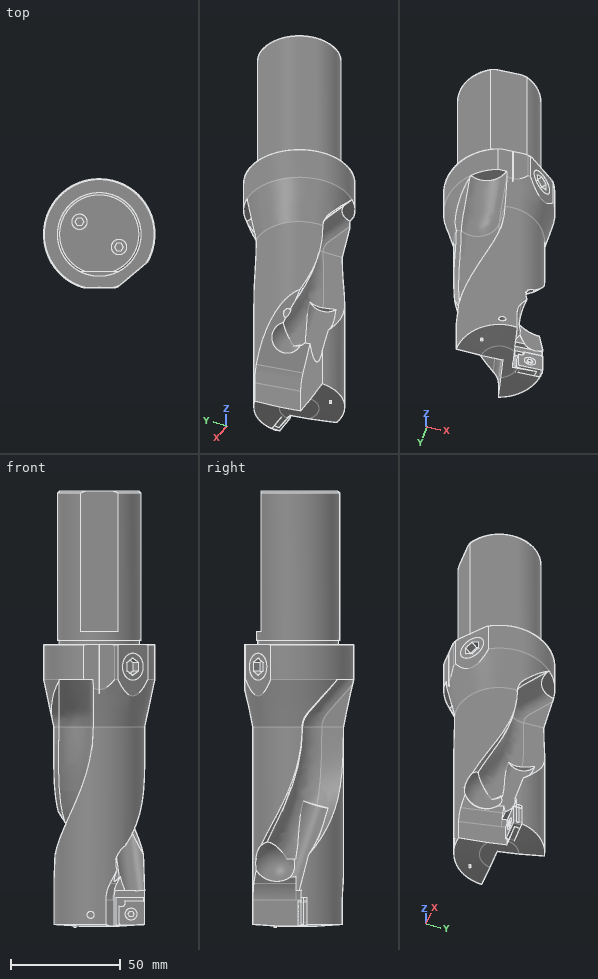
import cadquery as cq
import math


SHANK_DIA = 38.1
SHANK_LENGTH = 69.85
SHANK_CHAMFER = 1.0
SHANK_FLAT_Y = -17.0
SHANK_FLAT_LENGTH = 64.0
NECK_HEIGHT = 1.8
NECK_DEPTH = 0.6

COLLAR_DIA = 50.8
COLLAR_HEIGHT = 16.0
COLLAR_CHAMFER = 0.4
CONE_HEIGHT = 21.7
COLLAR_FLAT_Y = -24.4
MARK_WIDTH = 0.4
MARK_DEPTH = 0.4
MARK_LENGTH = 22.3
PLUG_FLAT_ANGLE = 40.0
PLUG_FLAT_DISTANCE = 23.8

DRILL_DIA = 41.5
OVERALL_LENGTH = 198.91
NIB_HEIGHT = 0.65
NIB_DIA = 1.0
NIB_X, NIB_Y = -11.0, -10.4
TIP_FACE_RADIUS = 9.0
TIP_RISE = 0.8

FLUTE_WALL_X = -2.7
FLUTE_ARC_RADIUS = 10.3
FLUTE_ARC_CENTRE_Y = -10.8
FLUTE_LIP_X = -18.4
FLUTE_LIP_Y = -1.0
FLUTE_LENGTH = 60.0
END_BALL_DEPTH = 62.0
TWIST_LENGTH = 64.0
TWIST_ANGLE = 84.0
TWIST_EXPONENT = 2
TWIST_SECTIONS = 13
RUNOUT_SLOPE = 0.88
RUNOUT_BEND = 7.0
RUNOUT_SECTIONS = 8

INNER_POCKET_RIM_X = 5.0
INNER_POCKET_SLOPE = 0.6
OUTER_POCKET_RIM_X = -3.0
OUTER_POCKET_SLOPE = 0.5
POCKET_WALL_LEAN = 3.4
POCKET_BEND_Z = -112.5
POCKET_BEND_RADIUS = 17.0
POCKET_HEIGHT = 44.0
UPPER_FLOOR_Y = 1.0
LOWER_FLOOR_Y = -1.4
LOWER_FLOOR_TOP_Z = -112.0

GOUGE_RADIUS = 7.5
GOUGE_LENGTH = 46.0
GOUGE_START = (-12.2, -6.8, -72.0)
GOUGE_DIRECTION = (-0.13, 0.33, -1.0)

LAND_HOLE_DIA = 3.2
LAND_HOLE_X = -3.9
LAND_HOLE_Z = -123.2
LAND_HOLE_DEPTH = 6.0
FLUTE_HOLE_DIA = 3.2
FLUTE_HOLE_LENGTH = 22.0
FLUTE_HOLE_START = (-13.5, 13.0, -92.0)
FLUTE_HOLE_DIRECTION = (0.25, -0.15, 1.0)

INSERT_WIDTH = 11.5
INSERT_HEIGHT = 11.0
INSERT_THICKNESS = 4.0
INSERT_CORNER_RADIUS = 0.8
INSERT_OUTER_X = 20.6
INSERT_BOTTOM_Z = -127.8
SEAT_GAP = 1.4
CORNER_RELIEF_DIA = 3.4
CORNER_RELIEF_INSET = 1.0
SCREW_HEAD_DIA = 5.4
SCREW_SHANK_DIA = 3.5
SCREW_HEAD_HEIGHT = 2.4
SCREW_LENGTH = 10.0
SCREW_SOCKET_WIDTH = 2.8
SCREW_SOCKET_DEPTH = 1.4
SCREW_X = 14.5
SCREW_Z = -122.85

END_PLUG_DIA = 7.0
END_PLUG_LENGTH = 8.0
END_PLUG_POSITION = (-9.0, 5.75)
END_PLUG_SOCKET = 4.0
SIDE_PLUG_DIA = 12.3
SIDE_PLUG_LENGTH = 10.0
SIDE_PLUG_SOCKET = 7.8
SIDE_PLUG_Z = -10.2
SOCKET_DEPTH = 4.0

COLLAR_RADIUS = COLLAR_DIA / 2
DRILL_RADIUS = DRILL_DIA / 2
SHANK_RADIUS = SHANK_DIA / 2
CONE_FOOT_Z = -COLLAR_HEIGHT - CONE_HEIGHT
TIP_Z = SHANK_LENGTH - OVERALL_LENGTH + NIB_HEIGHT
CUT_MARGIN = 2.0
OUTSIDE = COLLAR_RADIUS + CUT_MARGIN
AXIS_START = (0, 0, 0)
AXIS_END = (0, 0, 1)


def make_blank():
    """Turned outline of shank, neck, collar, cone and drill."""
    neck_radius = SHANK_RADIUS - NECK_DEPTH
    return (
        cq.Workplane("XZ")
        .moveTo(0, SHANK_LENGTH)
        .lineTo(SHANK_RADIUS - SHANK_CHAMFER, SHANK_LENGTH)
        .lineTo(SHANK_RADIUS, SHANK_LENGTH - SHANK_CHAMFER)
        .lineTo(SHANK_RADIUS, NECK_HEIGHT)
        .lineTo(neck_radius, NECK_HEIGHT)
        .lineTo(neck_radius, 0)
        .lineTo(COLLAR_RADIUS - COLLAR_CHAMFER, 0)
        .lineTo(COLLAR_RADIUS, -COLLAR_CHAMFER)
        .lineTo(COLLAR_RADIUS, -COLLAR_HEIGHT)
        .lineTo(DRILL_RADIUS, CONE_FOOT_Z)
        .lineTo(DRILL_RADIUS, TIP_Z + TIP_RISE)
        .lineTo(TIP_FACE_RADIUS, TIP_Z)
        .lineTo(0, TIP_Z)
        .close()
        .revolve(360, (0, 0, 0), (0, 1, 0))
    )


def box_between(low, high):
    size = [b - a for a, b in zip(low, high)]
    return cq.Workplane("XY").box(*size, centered=False).translate(low)


def cut_flats(body):
    """Clamping flat on the shank, two flats on the collar and the setting mark."""
    shank_flat = box_between(
        (-OUTSIDE, -OUTSIDE, SHANK_LENGTH - SHANK_FLAT_LENGTH),
        (OUTSIDE, SHANK_FLAT_Y, SHANK_LENGTH),
    )
    collar_flat = box_between(
        (-OUTSIDE, -OUTSIDE, CONE_FOOT_Z), (OUTSIDE, COLLAR_FLAT_Y, 0)
    )
    plug_flat = box_between(
        (-OUTSIDE, -OUTSIDE, CONE_FOOT_Z), (OUTSIDE, -PLUG_FLAT_DISTANCE, 0)
    ).rotate(AXIS_START, AXIS_END, PLUG_FLAT_ANGLE)
    mark = box_between(
        (-MARK_WIDTH / 2, -OUTSIDE, -MARK_LENGTH),
        (MARK_WIDTH / 2, COLLAR_FLAT_Y + MARK_DEPTH, 0),
    )
    return body.cut(shank_flat).cut(collar_flat).cut(plug_flat).cut(mark)


def twist_at(depth):
    """Clockwise turn of the flute, seen from above, at a depth below the cone foot."""
    return TWIST_ANGLE * (depth / TWIST_LENGTH) ** TWIST_EXPONENT


def flute_section(depth):
    """Flute outline: a straight wall, a round root and a lip, open to the outside."""
    arc_centre_x = FLUTE_WALL_X - FLUTE_ARC_RADIUS
    lip_offset = FLUTE_LIP_X - arc_centre_x
    lip_arc_y = FLUTE_ARC_CENTRE_Y + math.sqrt(FLUTE_ARC_RADIUS**2 - lip_offset**2)
    diagonal = FLUTE_ARC_RADIUS * math.sqrt(0.5)
    wire = (
        cq.Workplane("XY")
        .moveTo(FLUTE_WALL_X, -OUTSIDE)
        .lineTo(FLUTE_WALL_X, FLUTE_ARC_CENTRE_Y)
        .threePointArc(
            (arc_centre_x + diagonal, FLUTE_ARC_CENTRE_Y + diagonal),
            (FLUTE_LIP_X, lip_arc_y),
        )
        .lineTo(-OUTSIDE, FLUTE_LIP_Y)
        .lineTo(-OUTSIDE, -OUTSIDE)
        .close()
        .val()
    )
    return wire.rotate(
        cq.Vector(*AXIS_START), cq.Vector(*AXIS_END), -twist_at(depth)
    ).translate(cq.Vector(0, 0, CONE_FOOT_Z - depth))


def runout_offset(height):
    """Outward shift of the flute above the cone foot: a parabolic bend, then a straight slope."""
    if height < RUNOUT_BEND:
        return RUNOUT_SLOPE * height**2 / (2 * RUNOUT_BEND)
    return RUNOUT_SLOPE * (height - RUNOUT_BEND / 2)


def make_flute():
    """Cutters for the twisting flute, its runout up through the cone and its round lower end."""
    step = FLUTE_LENGTH / (TWIST_SECTIONS - 1)
    sections = [flute_section(index * step) for index in range(TWIST_SECTIONS)]
    helix = cq.Workplane(cq.Solid.makeLoft(sections))
    runout_step = CONE_HEIGHT / (RUNOUT_SECTIONS - 1)
    runout_heights = [index * runout_step for index in range(RUNOUT_SECTIONS)]
    runout = cq.Workplane(
        cq.Solid.makeLoft(
            [
                flute_section(0).translate(cq.Vector(0, -runout_offset(height), height))
                for height in runout_heights
            ]
        )
    )
    end_ball = (
        cq.Workplane("XY")
        .sphere(FLUTE_ARC_RADIUS)
        .translate((FLUTE_WALL_X - FLUTE_ARC_RADIUS, FLUTE_ARC_CENTRE_Y, CONE_FOOT_Z - END_BALL_DEPTH))
        .rotate(AXIS_START, AXIS_END, -twist_at(END_BALL_DEPTH))
    )
    return helix, runout, end_ball


def make_chip_pocket(rim_x, slope, upper_floor_y):
    """Bent wall leaning back from the rim, above a floor that steps down beside the tip."""
    bottom_z = TIP_Z - CUT_MARGIN
    profile = (
        cq.Workplane("XZ")
        .moveTo(rim_x, bottom_z)
        .lineTo(rim_x, POCKET_BEND_Z)
        .lineTo(rim_x - slope * POCKET_HEIGHT, POCKET_BEND_Z + POCKET_HEIGHT)
        .lineTo(-2 * OUTSIDE, POCKET_BEND_Z + POCKET_HEIGHT)
        .lineTo(-2 * OUTSIDE, bottom_z)
        .close()
        .extrude(CUT_MARGIN)
        .edges(cq.selectors.NearestToPointSelector((rim_x, 0, POCKET_BEND_Z)))
        .fillet(POCKET_BEND_RADIUS)
        .faces(">Y").wires().val()
    )
    lean = POCKET_WALL_LEAN / DRILL_RADIUS

    def pocket_down_to(floor_y):
        depth = OUTSIDE - floor_y
        start = profile.translate(cq.Vector(lean * (OUTSIDE - DRILL_RADIUS), OUTSIDE, 0))
        return cq.Workplane(
            cq.Solid.extrudeLinear(start, [], cq.Vector(-lean * depth, -depth, 0))
        )

    below_step = box_between(
        (-2 * OUTSIDE, -OUTSIDE, bottom_z), (2 * OUTSIDE, OUTSIDE, LOWER_FLOOR_TOP_Z)
    )
    lower = pocket_down_to(LOWER_FLOOR_Y).intersect(below_step)
    return pocket_down_to(upper_floor_y).union(lower)


def cut_flutes(body):
    """Two flutes, half a turn apart, each ending in a chip pocket."""
    flute = make_flute()
    inner_pocket = make_chip_pocket(INNER_POCKET_RIM_X, INNER_POCKET_SLOPE, LOWER_FLOOR_Y)
    outer_pocket = make_chip_pocket(OUTER_POCKET_RIM_X, OUTER_POCKET_SLOPE, UPPER_FLOOR_Y)
    for half_turn, pocket in ((0, inner_pocket), (180, outer_pocket)):
        for cutter in [*flute, pocket]:
            body = body.cut(cutter.rotate(AXIS_START, AXIS_END, half_turn))
    return body


def cut_gouges(body):
    gouge = cq.Solid.makeCylinder(
        GOUGE_RADIUS, GOUGE_LENGTH, cq.Vector(*GOUGE_START), cq.Vector(*GOUGE_DIRECTION)
    )
    for half_turn in (0, 180):
        body = body.cut(cq.Workplane(gouge).rotate(AXIS_START, AXIS_END, half_turn))
    return body


def cut_coolant_holes(body):
    land_hole = cq.Solid.makeCylinder(
        LAND_HOLE_DIA / 2,
        LAND_HOLE_DEPTH,
        cq.Vector(LAND_HOLE_X, -DRILL_RADIUS, LAND_HOLE_Z),
        cq.Vector(0, 1, 0),
    )
    flute_hole = cq.Solid.makeCylinder(
        FLUTE_HOLE_DIA / 2,
        FLUTE_HOLE_LENGTH,
        cq.Vector(*FLUTE_HOLE_START),
        cq.Vector(*FLUTE_HOLE_DIRECTION),
    )
    return body.cut(cq.Workplane(land_hole)).cut(cq.Workplane(flute_hole))


def add_nib(body):
    nib = (
        cq.Workplane("XY", origin=(NIB_X, NIB_Y, TIP_Z - NIB_HEIGHT))
        .circle(NIB_DIA / 2)
        .extrude(NIB_HEIGHT + 2 * TIP_RISE)
    )
    return body.union(nib)


def insert_block(thickness, grow):
    """Block on the insert's place, with its cutting face on Y = 0; grow widens two sides."""
    width = INSERT_WIDTH + grow
    height = INSERT_HEIGHT + grow
    return box_between(
        (INSERT_OUTER_X - width, 0, INSERT_BOTTOM_Z),
        (INSERT_OUTER_X, thickness, INSERT_BOTTOM_Z + height),
    )


def along_y(diameter, start_y, length, x, z):
    """Round bar that points to +Y."""
    return cq.Workplane(
        cq.Solid.makeCylinder(
            diameter / 2, length, cq.Vector(x, start_y, z), cq.Vector(0, 1, 0)
        )
    )


def screw_blank():
    head = along_y(SCREW_HEAD_DIA, 0, SCREW_HEAD_HEIGHT, SCREW_X, SCREW_Z)
    return head.union(along_y(SCREW_SHANK_DIA, 0, SCREW_LENGTH, SCREW_X, SCREW_Z))


def make_insert():
    corner_relief = along_y(
        CORNER_RELIEF_DIA,
        0,
        INSERT_THICKNESS,
        INSERT_OUTER_X - INSERT_WIDTH + CORNER_RELIEF_INSET,
        INSERT_BOTTOM_Z + INSERT_HEIGHT - CORNER_RELIEF_INSET,
    )
    return (
        insert_block(INSERT_THICKNESS, 0)
        .edges("|Y").fillet(INSERT_CORNER_RADIUS)
        .cut(corner_relief)
        .cut(screw_blank())
    )


def make_screw():
    socket = (
        cq.Workplane("XZ", origin=(SCREW_X, 0, SCREW_Z))
        .polygon(6, SCREW_SOCKET_WIDTH)
        .extrude(-SCREW_SOCKET_DEPTH)
    )
    return screw_blank().cut(socket)


def cut_insert_seat(body):
    return body.cut(insert_block(INSERT_THICKNESS, SEAT_GAP)).cut(screw_blank())


def plug_bar(frame, diameter, length):
    """Round bar that goes down into the body from a frame on its surface."""
    return cq.Workplane(frame).circle(diameter / 2).extrude(-length)


def make_plug(frame, diameter, length, socket_width):
    socket = cq.Workplane(frame).polygon(6, socket_width).extrude(-SOCKET_DEPTH)
    return plug_bar(frame, diameter, length).cut(socket)


def end_plug_frames():
    """Frames on the shank's end face, half a turn apart."""
    x, y = END_PLUG_POSITION
    return [cq.Plane((side * x, side * y, SHANK_LENGTH)) for side in (1, -1)]


def side_plug_frame():
    """Frame on the angled collar flat, with its local X axis pointing up."""
    angle = math.radians(PLUG_FLAT_ANGLE)
    normal = (math.sin(angle), -math.cos(angle), 0)
    origin = (PLUG_FLAT_DISTANCE * normal[0], PLUG_FLAT_DISTANCE * normal[1], SIDE_PLUG_Z)
    return cq.Plane(origin, xDir=(0, 0, 1), normal=normal)


def make_body():
    body = cut_flats(make_blank())
    body = cut_flutes(body)
    body = cut_gouges(body)
    body = cut_coolant_holes(body)
    body = add_nib(body)
    body = cut_insert_seat(body)
    for frame in end_plug_frames():
        body = body.cut(plug_bar(frame, END_PLUG_DIA, END_PLUG_LENGTH))
    return body.cut(plug_bar(side_plug_frame(), SIDE_PLUG_DIA, SIDE_PLUG_LENGTH))


body = make_body()
insert = make_insert()
screw = make_screw()
side_plug = make_plug(side_plug_frame(), SIDE_PLUG_DIA, SIDE_PLUG_LENGTH, SIDE_PLUG_SOCKET)
end_plugs = [
    make_plug(frame, END_PLUG_DIA, END_PLUG_LENGTH, END_PLUG_SOCKET)
    for frame in end_plug_frames()
]

result = cq.Compound.makeCompound(
    [
        body.val(),
        insert.val(),
        screw.val(),
        side_plug.val(),
        *[plug.val() for plug in end_plugs],
    ]
)